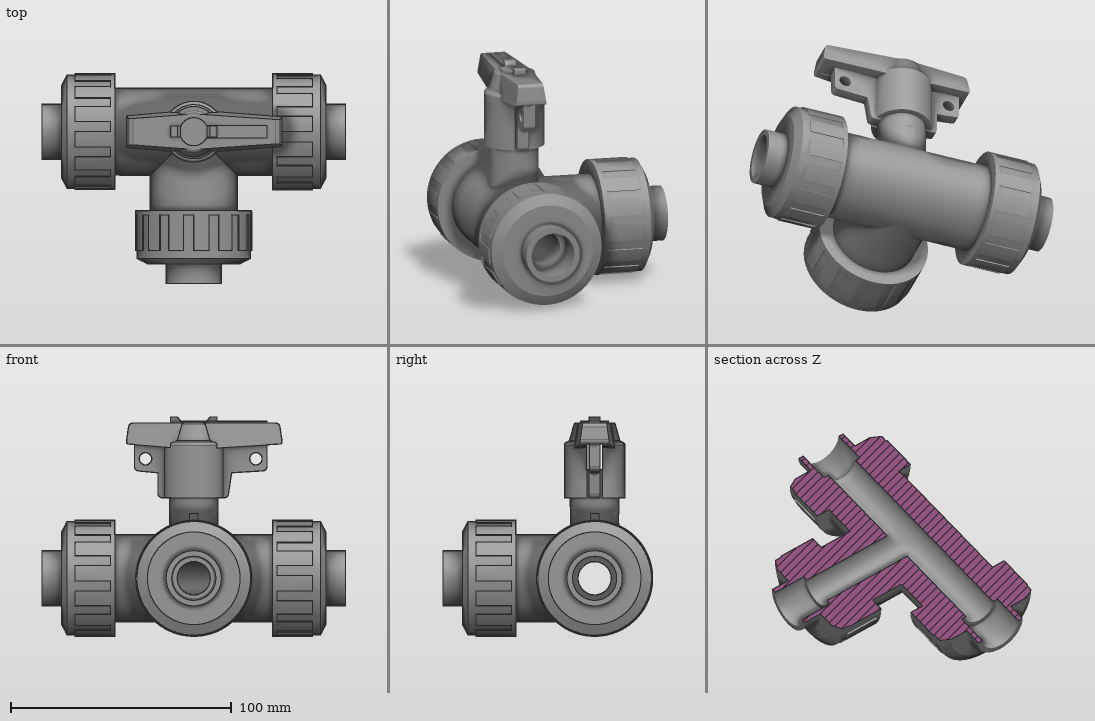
import cadquery as cq
import math

body_radius = 19.75
port_reach = 68.75
stub_radius = 12.5
bore_radius = 7.5
socket_radius = 10.0
socket_depth = 16.0
port_angles = (0, 90, 180)

nut_inner_face = 35.7
nut_outer_face = 59.8
nut_collar_end = 37.7
nut_rib_end = 53.7
nut_chamfer_start = 57.3
nut_rib_radius = 26.3
nut_groove_radius = 25.75
nut_face_radius = 21.0
rib_count = 14
rib_pitch = 360 / rib_count
rib_share = 0.6
groove_angle = rib_pitch * (1 - rib_share)
rib_overlap = 1.0
wedge_oversize = 1.1

stem_radius = 11.05
stem_seam_height = 29.4
stem_top = 49.2
notch_width = 3.8
notch_depth = 0.3
notch_height = 4.7

sleeve_radius = 13.75
sleeve_bottom = 36.4
sleeve_shoulder = 60.2
shoulder_round = 1.5
cone_bottom = 62.4
cone_bottom_radius = 11.4
cone_top_radius = 9.2
cone_round = 1.0
sleeve_slot_width = 7.0

grip_top = 70.3
grip_apex = 58.3
grip_end_bottom = 60.8
grip_land_top = 62.9
grip_left = -30.4
grip_right = 39.9
grip_draft = 8.5
grip_half_width_mid = 9.85
grip_half_width_left = 7.5
grip_half_width_right = 7.1
grip_end_round = 2.0
grip_lower_round = 0.9
inner_root = grip_land_top

plate_thickness = 5.0
plate_left = -26.9
plate_right = 33.2
plate_lobe_bottom = 48.7
plate_lobe_inner = 47.7
plate_foot_left = -16.2
plate_foot_right_top = 17.2
plate_foot_right_bottom = 15.5
plate_corner_round = 2.0
lock_hole_diameter = 5.5
lock_hole_height = 54.1
lock_hole_spacing = 50.0
lock_hole_middle = (plate_left + plate_right) / 2

mark_top = 71.2
disc_radius = 6.35
strip_width = 5.5
lug_top = 73.12
lug_outer = 10.6
lug_top_inner = 7.4
lug_inner = 5.9
lug_round = 0.5


def cylinder_z(radius, bottom, top):
    return cq.Workplane("XY").workplane(offset=bottom).circle(radius).extrude(top - bottom)


def cylinder_out(radius, start, end):
    """Cylinder on the -X port axis, between two distances from the centre."""
    return cq.Workplane("YZ").workplane(offset=-end).circle(radius).extrude(end - start)


def make_nut():
    """Union nut on the -X port: chamfered core inside a ribbed ring."""
    core = (
        cq.Workplane("XZ")
        .moveTo(-nut_inner_face, 0)
        .lineTo(-nut_inner_face, nut_groove_radius)
        .lineTo(-nut_chamfer_start, nut_groove_radius)
        .lineTo(-nut_outer_face, nut_face_radius)
        .lineTo(-nut_outer_face, 0)
        .close()
        .revolve(360, (0, 0, 0), (1, 0, 0))
    )
    ring = cylinder_out(nut_rib_radius, nut_inner_face, nut_rib_end)
    ring = ring.cut(cylinder_out(nut_groove_radius - rib_overlap, nut_inner_face, nut_rib_end))

    half = math.radians(groove_angle / 2)
    wedge_reach = nut_rib_radius * wedge_oversize
    wedge = (
        cq.Workplane("YZ")
        .workplane(offset=-nut_rib_end)
        .polyline([
            (0, 0),
            (-wedge_reach * math.sin(half), wedge_reach * math.cos(half)),
            (wedge_reach * math.sin(half), wedge_reach * math.cos(half)),
        ])
        .close()
        .extrude(nut_rib_end - nut_collar_end)
    )
    for index in range(rib_count):
        turn = groove_angle / 2 + index * rib_pitch
        ring = ring.cut(wedge.rotate((0, 0, 0), (1, 0, 0), -turn))
    return core.union(ring)


def make_body():
    """Tee of three alike ports with a neck for the stem, bored through all ports."""
    port = cylinder_out(body_radius, 0, nut_inner_face)
    port = port.union(make_nut())
    port = port.union(cylinder_out(stub_radius, nut_outer_face, port_reach))
    bore = cylinder_out(bore_radius, 0, port_reach)
    bore = bore.union(cylinder_out(socket_radius, port_reach - socket_depth, port_reach))

    body = cylinder_z(stem_radius, 0, stem_seam_height).cut(make_notches())
    for angle in port_angles:
        body = body.union(port.rotate((0, 0, 0), (0, 0, 1), angle))
    for angle in port_angles:
        body = body.cut(bore.rotate((0, 0, 0), (0, 0, 1), angle))
    return body


def make_notches():
    """Four shallow recesses around the top of the neck."""
    notch = cq.Workplane("XY").box(
        2 * notch_depth, notch_width, notch_height, centered=(True, True, False)
    ).translate((-stem_radius, 0, stem_seam_height - notch_height))
    notches = notch
    for angle in (90, 180, 270):
        notches = notches.union(notch.rotate((0, 0, 0), (0, 0, 1), angle))
    return notches


def make_sleeve():
    """Turned sleeve with a rounded shoulder and a tapered top."""
    diagonal = shoulder_round * math.sqrt(0.5)
    return (
        cq.Workplane("XZ")
        .moveTo(0, sleeve_bottom)
        .lineTo(sleeve_radius, sleeve_bottom)
        .lineTo(sleeve_radius, sleeve_shoulder)
        .threePointArc(
            (sleeve_radius - shoulder_round + diagonal, sleeve_shoulder + diagonal),
            (sleeve_radius - shoulder_round, sleeve_shoulder + shoulder_round),
        )
        .lineTo(cone_bottom_radius, cone_bottom)
        .lineTo(cone_top_radius, grip_top)
        .lineTo(0, grip_top)
        .close()
        .revolve(360, (0, 0, 0), (0, 1, 0))
        .faces(">Z").edges().fillet(cone_round)
    )


def make_grip():
    """Drafted bar, widest and deepest at the stem axis, with a V-shaped underside."""
    flare = (grip_land_top - grip_apex) * math.tan(math.radians(grip_draft))
    left = grip_left - flare
    right = grip_right + flare
    grip = (
        cq.Workplane("XY")
        .workplane(offset=grip_apex)
        .polyline([
            (left, -grip_half_width_left),
            (0, -grip_half_width_mid),
            (right, -grip_half_width_right),
            (right, grip_half_width_right),
            (0, grip_half_width_mid),
            (left, grip_half_width_left),
        ])
        .close()
        .extrude(grip_top - grip_apex, taper=grip_draft)
    )
    grip = grip.faces(">Z").edges("|Y").fillet(grip_end_round)
    side_outline = (
        cq.Workplane("XZ")
        .polyline([
            (grip_left, grip_top),
            (grip_left, grip_end_bottom),
            (0, grip_apex),
            (grip_right, grip_end_bottom),
            (grip_right, grip_top),
        ])
        .close()
        .extrude(grip_half_width_mid, both=True)
    )
    grip = grip.intersect(side_outline)
    lower_left = grip.faces("<X").edges("<Z").vals()
    lower_right = grip.faces(">X").edges("<Z").vals()
    return grip.newObject(lower_left + lower_right).fillet(grip_lower_round)


def make_plate():
    """Flat web inside the slotted sleeve, with two lock holes."""
    plate = (
        cq.Workplane("XZ")
        .polyline([
            (plate_left, inner_root),
            (plate_left, plate_lobe_bottom),
            (plate_foot_left, plate_lobe_inner),
            (plate_foot_left, sleeve_bottom),
            (plate_foot_right_bottom, sleeve_bottom),
            (plate_foot_right_top, plate_lobe_inner),
            (plate_right, plate_lobe_bottom),
            (plate_right, inner_root),
        ])
        .close()
        .extrude(plate_thickness / 2, both=True)
    )
    foot_corners = plate.faces("<Z").edges("|Y").vals()
    left_lobe_corner = plate.faces("<X").edges("|Y and <Z").vals()
    right_lobe_corner = plate.faces(">X").edges("|Y and <Z").vals()
    rounded = foot_corners + left_lobe_corner + right_lobe_corner
    plate = plate.newObject(rounded).fillet(plate_corner_round)
    holes = (
        cq.Workplane("XZ")
        .pushPoints([
            (lock_hole_middle - lock_hole_spacing / 2, lock_hole_height),
            (lock_hole_middle + lock_hole_spacing / 2, lock_hole_height),
        ])
        .circle(lock_hole_diameter / 2)
        .extrude(plate_thickness, both=True)
    )
    return plate.cut(holes)


def make_marks():
    """Disc, pointer strip and two lugs standing on the grip."""
    marks = cylinder_z(disc_radius, inner_root, mark_top)
    strip = cq.Workplane("XY").box(
        plate_right, strip_width, mark_top - inner_root, centered=(False, True, False)
    ).translate((0, 0, inner_root))
    lug = (
        cq.Workplane("XZ")
        .polyline([
            (lug_inner, inner_root),
            (lug_inner, mark_top),
            (lug_top_inner, lug_top),
            (lug_outer, lug_top),
            (lug_outer, inner_root),
        ])
        .close()
        .extrude(plate_thickness / 2, both=True)
    )
    lug = lug.edges("|Y and >X and >Z").fillet(lug_round)
    return marks.union(strip).union(lug).union(lug.mirror("YZ"))


def make_handle():
    """Sleeve and grip slotted along X, with the plate set in the middle of the slot."""
    handle = make_sleeve().union(make_grip())
    slot_length = 2 * grip_right
    slot_height = grip_end_bottom - sleeve_bottom
    slot = cq.Workplane("XY").box(
        slot_length, sleeve_slot_width, slot_height, centered=(True, True, False)
    ).translate((0, 0, sleeve_bottom))
    return handle.cut(slot).union(make_plate()).union(make_marks())


spindle = cylinder_z(stem_radius, stem_seam_height, stem_top)
result = make_body().union(spindle).union(make_handle())